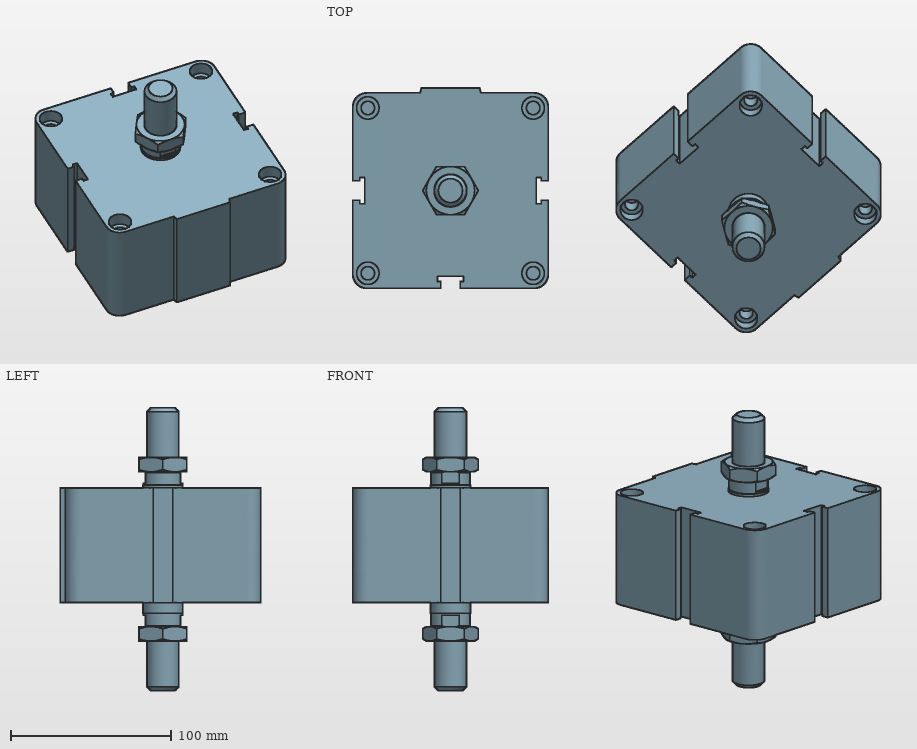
import cadquery as cq
import math

side = 122.0
corner_radius = 9.0
cap_height = 19.5
barrel_height = 32.5
housing_height = 2 * cap_height + barrel_height
pad_width = 38.0
pad_top_width = 36.5
pad_height = 3.0

slot_throat_width = 12.0
slot_undercut_width = 16.2
slot_lip = 4.5
slot_depth = 7.5

hole_pitch = 103.0
counterbore_diameter = 14.0
counterbore_depth = 8.5
thread_hole_diameter = 8.38
thread_hole_depth = 20.0

rod_diameter = 25.0
neck_diameter = 24.5
thread_diameter = 20.0
thread_length = 40.0
neck_length = 8.2
tip_chamfer = 2.5
shoulder_chamfer = 0.5
rod_top_reach = 50.0
rod_bottom_reach = 55.0
rod_length = rod_top_reach + housing_height + rod_bottom_reach
flat_width = 22.0
flat_length = 7.0

nut_width = 30.0
nut_height = 9.0
nut_bevel_angle = 30.0
nut_countersink = 0.25

half_side = side / 2
housing_bottom = -housing_height / 2
rod_bottom = housing_bottom - rod_bottom_reach
rod_top = rod_bottom + rod_length


def t_slot(rotation):
    """Cutter for one T-slot in the -Y face, turned about Z."""
    throat = cq.Workplane("XY", origin=(0, 0, housing_bottom)).center(0, -half_side + slot_depth / 2)
    throat = throat.rect(slot_throat_width, slot_depth).extrude(housing_height)
    undercut_depth = slot_depth - slot_lip
    undercut = cq.Workplane("XY", origin=(0, 0, housing_bottom))
    undercut = undercut.center(0, -half_side + slot_lip + undercut_depth / 2)
    undercut = undercut.rect(slot_undercut_width, undercut_depth).extrude(housing_height)
    return throat.union(undercut).rotate((0, 0, 0), (0, 0, 1), rotation)


def profile_section(bottom, height):
    """Stretch of the housing profile, with its pad, slots and rod bore."""
    section = cq.Workplane("XY", origin=(0, 0, bottom)).rect(side, side).extrude(height)
    section = section.edges("|Z").fillet(corner_radius)
    pad = (
        cq.Workplane("XY", origin=(0, 0, bottom))
        .moveTo(-pad_width / 2, half_side - pad_height)
        .lineTo(-pad_width / 2, half_side)
        .lineTo(-pad_top_width / 2, half_side + pad_height)
        .lineTo(pad_top_width / 2, half_side + pad_height)
        .lineTo(pad_width / 2, half_side)
        .lineTo(pad_width / 2, half_side - pad_height)
        .close()
        .extrude(height)
    )
    section = section.union(pad)
    for rotation in (0, 90, -90):
        section = section.cut(t_slot(rotation))
    bore = cq.Workplane("XY", origin=(0, 0, bottom)).circle(rod_diameter / 2).extrude(height)
    return section.cut(bore)


def cap(bottom, outer_face):
    """End cap with a counterbored blind hole at each corner of its outer face."""
    return (
        profile_section(bottom, cap_height)
        .faces(outer_face)
        .workplane(origin=(0, 0, 0))
        .rect(hole_pitch, hole_pitch, forConstruction=True)
        .vertices()
        .cboreHole(thread_hole_diameter, counterbore_diameter, counterbore_depth, thread_hole_depth)
    )


def make_housing():
    """One solid; the faces stay divided where the caps meet the barrel."""
    barrel_bottom = housing_bottom + cap_height
    barrel = profile_section(barrel_bottom, barrel_height)
    lower_cap = cap(housing_bottom, "<Z")
    upper_cap = cap(barrel_bottom + barrel_height, ">Z")
    return barrel.union(lower_cap, clean=False).union(upper_cap, clean=False)


def rod_flats(bottom):
    """Pair of cutters for wrench flats facing -Y and +Y."""
    cutter_depth = rod_diameter
    cutter_offset = (flat_width + cutter_depth) / 2
    return (
        cq.Workplane("XY", origin=(0, 0, bottom))
        .pushPoints([(0, -cutter_offset), (0, cutter_offset)])
        .rect(2 * rod_diameter, cutter_depth)
        .extrude(flat_length)
    )


def make_rod():
    """Turned rod, the same at both ends, with wrench flats next to each thread."""
    body_radius = rod_diameter / 2
    neck_radius = neck_diameter / 2
    thread_radius = thread_diameter / 2
    neck_end = thread_length + neck_length
    body_chamfer = body_radius - neck_radius
    end_profile = [
        (thread_radius - tip_chamfer, 0),
        (thread_radius, tip_chamfer),
        (thread_radius, thread_length),
        (neck_radius - shoulder_chamfer, thread_length),
        (neck_radius, thread_length + shoulder_chamfer),
        (neck_radius, neck_end),
        (body_radius, neck_end + body_chamfer),
    ]
    lower = [(radius, rod_bottom + distance) for radius, distance in end_profile]
    upper = [(radius, rod_top - distance) for radius, distance in reversed(end_profile)]
    outline = [(0, rod_bottom)] + lower + upper + [(0, rod_top)]
    rod = cq.Workplane("XZ").polyline(outline).close().revolve(360, (0, 0), (0, 1))
    rod = rod.cut(rod_flats(rod_bottom + thread_length))
    return rod.cut(rod_flats(rod_top - thread_length - flat_length))


def make_nut(bottom):
    """Hexagon nut with bevelled corners and a countersunk bore."""
    hexagon_radius = nut_width / math.sqrt(3)
    bevel_radius = nut_width / 2
    bevel_drop = (hexagon_radius - bevel_radius) * math.tan(math.radians(nut_bevel_angle))
    bore_radius = thread_diameter / 2
    mouth_radius = bore_radius + nut_countersink
    hexagon = cq.Workplane("XY").polygon(6, 2 * hexagon_radius).extrude(nut_height)
    ring = (
        cq.Workplane("XZ")
        .moveTo(mouth_radius, 0)
        .lineTo(bevel_radius, 0)
        .lineTo(hexagon_radius, bevel_drop)
        .lineTo(hexagon_radius, nut_height - bevel_drop)
        .lineTo(bevel_radius, nut_height)
        .lineTo(mouth_radius, nut_height)
        .lineTo(bore_radius, nut_height - nut_countersink)
        .lineTo(bore_radius, nut_countersink)
        .close()
        .revolve(360, (0, 0), (0, 1))
    )
    return hexagon.intersect(ring).translate((0, 0, bottom))


housing = make_housing()
rod = make_rod()
nut_bottoms = (rod_bottom + thread_length - nut_height, rod_top - thread_length)
nuts = [make_nut(bottom) for bottom in nut_bottoms]

bodies = [housing, rod, *nuts]
result = cq.Compound.makeCompound([body.solids().val() for body in bodies])